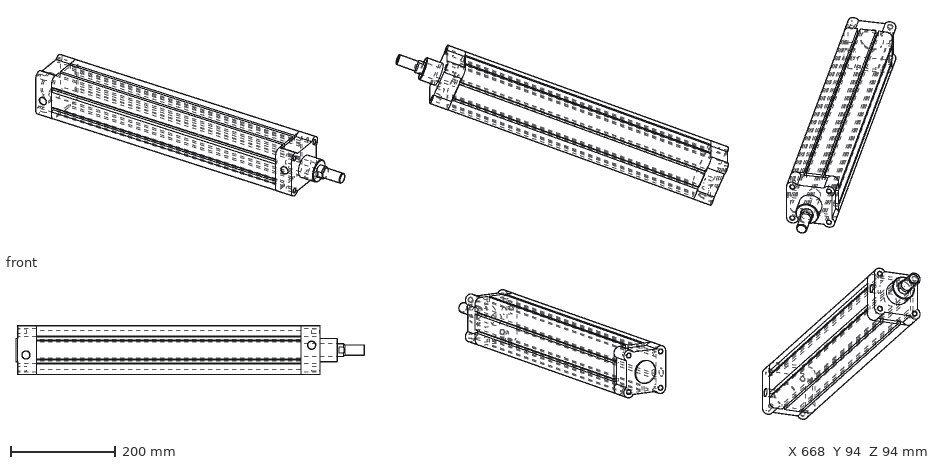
import cadquery as cq


WIDTH = 94.0
HALF_WIDTH = WIDTH / 2
TOTAL_LENGTH = 668.0

CAP_LENGTH = 36.0
LOBE_RADIUS = 11.5
LOBE_OFFSET = HALF_WIDTH - LOBE_RADIUS
RELIEF_DEPTH = 5.5
SCREW_DIAMETER = 9.0
SCREW_MOUTH_DIAMETER = 10.0
SCREW_DEPTH = 17.0
PORT_DIAMETER = 15.0
PORT_MOUTH_DIAMETER = 16.0
PORT_DEPTH = 17.0
PORT_SETBACK = 16.0
PORT_OFFSET = 9.5

SPIGOT_DIAMETER = 45.0
REAR_SPIGOT_LENGTH = 3.5
COLLAR_LENGTH = 33.5
COLLAR_CHAMFER = 1.5

BARREL_LENGTH = 507.0
BARREL_CORNER_RADIUS = 12.0
SLOT_OFFSET = 18.0
SLOT_WIDTH = 5.5
SLOT_DEPTH = 10.0
GROOVE_OFFSET = 22.0
GROOVE_MOUTH = 10.0
GROOVE_FLOOR = 5.5
GROOVE_DEPTH = 5.5

ROD_DIAMETER = 25.0
THREAD_DIAMETER = 20.0
THREAD_LENGTH = 38.0
THREAD_CHAMFER = 1.5
FLAT_WIDTH = 22.0
FLAT_START_GAP = 3.5

BARREL_START = CAP_LENGTH
BARREL_END = BARREL_START + BARREL_LENGTH
FRONT_FACE = BARREL_END + CAP_LENGTH
COLLAR_END = FRONT_FACE + COLLAR_LENGTH
ROD_END = TOTAL_LENGTH - REAR_SPIGOT_LENGTH
SHOULDER = ROD_END - THREAD_LENGTH


def plane_at(x):
    """Plane across the axis at x: local x is +Y, local y is +Z, normal is +X."""
    return cq.Workplane("YZ", origin=(x, 0, 0))


def axial_cylinder(x, diameter, length):
    return plane_at(x).circle(diameter / 2).extrude(length)


def corner_points():
    return [(y, z) for y in (-LOBE_OFFSET, LOBE_OFFSET) for z in (-LOBE_OFFSET, LOBE_OFFSET)]


def cap_block(x):
    """Block relieved on +Y, +Z and -Z between round corner lobes, flat on -Y."""
    core_height = WIDTH - 2 * RELIEF_DEPTH
    core_depth = WIDTH - RELIEF_DEPTH
    core = plane_at(x).center(-RELIEF_DEPTH / 2, 0).rect(core_depth, core_height).extrude(CAP_LENGTH)
    core = core.edges("|X and <Y").fillet(LOBE_RADIUS - RELIEF_DEPTH)
    lobes = plane_at(x).pushPoints(corner_points()).circle(LOBE_RADIUS).extrude(CAP_LENGTH)
    return core.union(lobes)


def countersunk_hole(plane, mouth_diameter, diameter, depth):
    """Blind cutter along the plane's normal, with a 45 degree countersink at its mouth."""
    sink_depth = (mouth_diameter - diameter) / 2
    countersink = cq.Workplane(plane).circle(mouth_diameter / 2).extrude(sink_depth, taper=45)
    bore = cq.Workplane(plane).circle(diameter / 2).extrude(depth)
    return countersink.union(bore)


def screw_hole(x, y, z, inward):
    """Blind hole with a countersunk mouth; inward is +1 or -1 along X."""
    return countersunk_hole(
        cq.Plane(origin=(x, y, z), xDir=(0, 1, 0), normal=(inward, 0, 0)),
        SCREW_MOUTH_DIAMETER,
        SCREW_DIAMETER,
        SCREW_DEPTH,
    )


def drill_screw_holes(cap, x, inward):
    for y, z in corner_points():
        cap = cap.cut(screw_hole(x, y, z, inward))
    return cap


def port(x, z):
    """Blind air port in the -Y face."""
    face = cq.Plane(origin=(x, -HALF_WIDTH, z), xDir=(1, 0, 0), normal=(0, 1, 0))
    return countersunk_hole(face, PORT_MOUTH_DIAMETER, PORT_DIAMETER, PORT_DEPTH)


def make_rear_cap():
    spigot = axial_cylinder(-REAR_SPIGOT_LENGTH, SPIGOT_DIAMETER, REAR_SPIGOT_LENGTH)
    cap = cap_block(0).union(spigot).cut(port(PORT_SETBACK, -PORT_OFFSET))
    return drill_screw_holes(cap, 0, 1)


def make_front_cap():
    collar = axial_cylinder(FRONT_FACE, SPIGOT_DIAMETER, COLLAR_LENGTH)
    collar = collar.faces(">X").edges().chamfer(COLLAR_CHAMFER)
    rod_bore = axial_cylinder(BARREL_END, ROD_DIAMETER, COLLAR_END - BARREL_END)
    cap = cap_block(BARREL_END).union(collar).cut(rod_bore)
    cap = cap.cut(port(FRONT_FACE - PORT_SETBACK, PORT_OFFSET))
    return drill_screw_holes(cap, FRONT_FACE, -1)


def slot_pair():
    """Two lengthwise slots in the -Y face, to be turned about the axis onto the other faces."""
    return (
        plane_at(BARREL_START)
        .center(-HALF_WIDTH + SLOT_DEPTH / 2, 0)
        .pushPoints([(0, -SLOT_OFFSET), (0, SLOT_OFFSET)])
        .rect(SLOT_DEPTH, SLOT_WIDTH)
        .extrude(BARREL_LENGTH)
    )


def tapered_groove(z):
    """Lengthwise groove in the -Y face with walls that converge toward a flat floor."""
    floor_y = -HALF_WIDTH + GROOVE_DEPTH
    outline = [
        (-HALF_WIDTH, z - GROOVE_MOUTH / 2),
        (floor_y, z - GROOVE_FLOOR / 2),
        (floor_y, z + GROOVE_FLOOR / 2),
        (-HALF_WIDTH, z + GROOVE_MOUTH / 2),
    ]
    return plane_at(BARREL_START).polyline(outline).close().extrude(BARREL_LENGTH)


def make_barrel():
    """Square bar with two tapered grooves in -Y and two straight slots in each other face."""
    barrel = plane_at(BARREL_START).rect(WIDTH, WIDTH).extrude(BARREL_LENGTH)
    barrel = barrel.edges("|X").fillet(BARREL_CORNER_RADIUS)
    for z in (-GROOVE_OFFSET, GROOVE_OFFSET):
        barrel = barrel.cut(tapered_groove(z))
    slots = slot_pair()
    for angle in (90, 180, 270):
        barrel = barrel.cut(slots.rotate((0, 0, 0), (1, 0, 0), angle))
    return barrel


def make_rod():
    """Rod with a chamfered shoulder, two wrench flats facing -Y and +Y, and a plain cylindrical thread."""
    shoulder_chamfer = (ROD_DIAMETER - THREAD_DIAMETER) / 2
    shank = axial_cylinder(BARREL_END, ROD_DIAMETER, SHOULDER - BARREL_END)
    shank = shank.faces(">X").edges().chamfer(shoulder_chamfer)
    flat_start = COLLAR_END + FLAT_START_GAP
    flat_length = SHOULDER - flat_start
    cheek = (ROD_DIAMETER - FLAT_WIDTH) / 2
    cheek_offset = (FLAT_WIDTH + cheek) / 2
    cheeks = (
        plane_at(flat_start)
        .pushPoints([(-cheek_offset, 0), (cheek_offset, 0)])
        .rect(cheek, ROD_DIAMETER)
        .extrude(flat_length)
    )
    thread = axial_cylinder(SHOULDER, THREAD_DIAMETER, THREAD_LENGTH)
    thread = thread.faces(">X").edges().chamfer(THREAD_CHAMFER)
    return shank.cut(cheeks).union(thread)


rear_cap = make_rear_cap()
barrel = make_barrel()
front_cap = make_front_cap()
rod = make_rod()

result = cq.Compound.makeCompound([rear_cap.val(), barrel.val(), front_cap.val(), rod.val()])